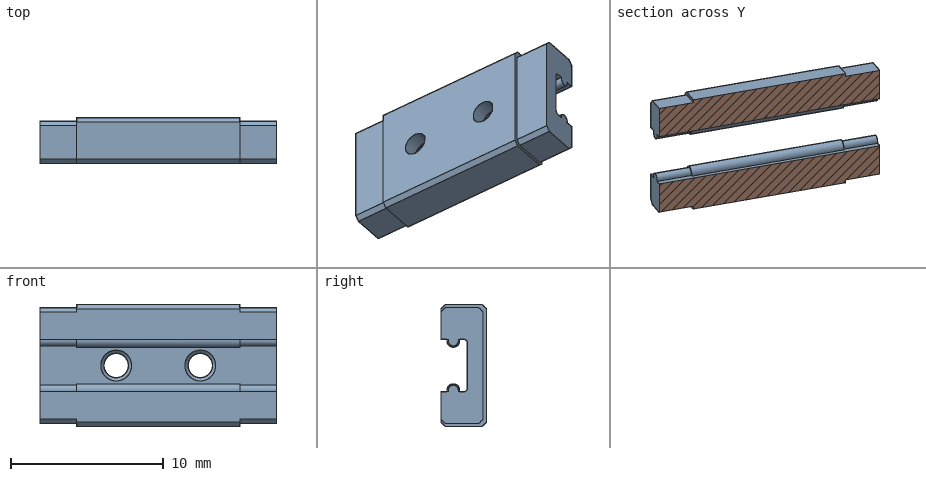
import cadquery as cq

LENGTH = 15.5
DEPTH = 3.0
HEIGHT = 8.0
MIDDLE_LENGTH = 10.7
BACK_STEP = 0.23
TOP_STEP = 0.2
EDGE_CHAMFER = 0.3

CHANNEL_DEPTH = 1.72
CHANNEL_HEIGHT = 3.41
CHANNEL_FILLET = 0.2

BEAD_SETBACK = 0.82
BEAD_CENTER_Z = 1.61
MIDDLE_BEAD_RADIUS = 0.42
END_BEAD_RADIUS = 0.33

HOLE_SPACING = 5.5
HOLE_DIAMETER = 1.58
COUNTERSINK_DIAMETER = 2.02
COUNTERSINK_ANGLE = 90.0

FRONT_Y = -DEPTH / 2
FLOOR_Y = FRONT_Y + CHANNEL_DEPTH
BEAD_ROOT_OVERLAP = 0.15


def block(length, depth, height):
    """Block on the front plane with its four lengthwise edges chamfered."""
    body = cq.Workplane("XY").box(length, depth, height)
    return body.edges("|X").chamfer(EDGE_CHAMFER).translate((0, FRONT_Y + depth / 2, 0))


def channel():
    """Full-length cutter with rounded inner corners."""
    cutter = cq.Workplane("XY").box(LENGTH, CHANNEL_DEPTH, CHANNEL_HEIGHT)
    cutter = cutter.edges("|X and >Y").fillet(CHANNEL_FILLET)
    return cutter.translate((0, FRONT_Y + CHANNEL_DEPTH / 2, 0))


def bead(length, radius, side):
    """Bead on the upper (side = 1) or lower (side = -1) channel wall."""
    center_y = FRONT_Y + BEAD_SETBACK
    center_z = side * BEAD_CENTER_Z
    root_z = side * (CHANNEL_HEIGHT / 2 + BEAD_ROOT_OVERLAP)
    return (
        cq.Workplane("YZ", origin=(-length / 2, 0, 0))
        .moveTo(center_y - radius, root_z)
        .lineTo(center_y - radius, center_z)
        .threePointArc((center_y, center_z - side * radius), (center_y + radius, center_z))
        .lineTo(center_y + radius, root_z)
        .close()
        .extrude(length)
    )


result = block(LENGTH, DEPTH - BACK_STEP, HEIGHT - 2 * TOP_STEP)
result = result.union(block(MIDDLE_LENGTH, DEPTH, HEIGHT)).cut(channel())

for wall_side in (-1, 1):
    result = result.union(bead(LENGTH, END_BEAD_RADIUS, wall_side))
    result = result.union(bead(MIDDLE_LENGTH, MIDDLE_BEAD_RADIUS, wall_side))

result = (
    cq.Workplane("XZ", origin=(0, FLOOR_Y, 0))
    .add(result)
    .pushPoints([(-HOLE_SPACING / 2, 0), (HOLE_SPACING / 2, 0)])
    .cskHole(HOLE_DIAMETER, COUNTERSINK_DIAMETER, COUNTERSINK_ANGLE, DEPTH - CHANNEL_DEPTH)
)